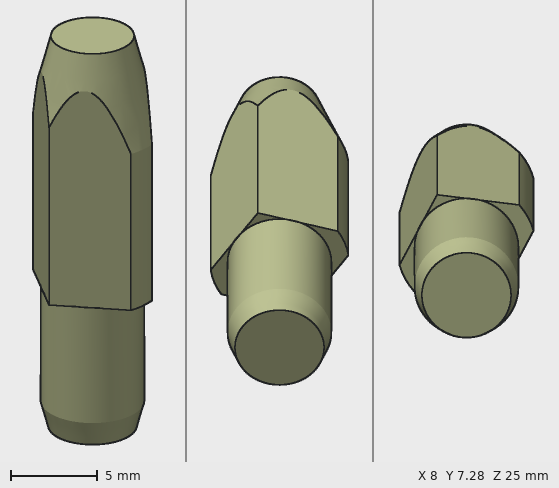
import cadquery as cq
import math

total_height = 25.0
shank_height = 9.0
shank_radius = 3.0
lead_in_height = 1.6
taper_angle = math.radians(15)

tip_radius = 2.4
head_radius = 4.0
diamond_half_depth = 3.638
diamond_slope_angle = math.radians(35.2)

lead_in_radius = shank_radius - lead_in_height * math.tan(taper_angle)
taper_height = (head_radius - tip_radius) / math.tan(taper_angle)
diamond_half_width = diamond_half_depth / math.tan(diamond_slope_angle)


def revolved_shank():
    """Round shank with a conical lead-in at its lower end."""
    return (
        cq.Workplane("XZ")
        .lineTo(lead_in_radius, 0)
        .lineTo(shank_radius, lead_in_height)
        .lineTo(shank_radius, shank_height)
        .lineTo(0, shank_height)
        .close()
        .revolve(360, (0, 0), (0, 1))
    )


def revolved_head():
    """Round envelope of the head: a cylinder ending in a truncated cone."""
    return (
        cq.Workplane("XZ")
        .moveTo(0, shank_height)
        .lineTo(head_radius, shank_height)
        .lineTo(head_radius, total_height - taper_height)
        .lineTo(tip_radius, total_height)
        .lineTo(0, total_height)
        .close()
        .revolve(360, (0, 0), (0, 1))
    )


def diamond_prism():
    """Four-sided prism whose faces cut the head's flats."""
    return (
        cq.Workplane("XY", origin=(0, 0, shank_height))
        .polyline([
            (diamond_half_width, 0),
            (0, diamond_half_depth),
            (-diamond_half_width, 0),
            (0, -diamond_half_depth),
        ])
        .close()
        .extrude(total_height - shank_height)
    )


head = revolved_head().intersect(diamond_prism())
result = revolved_shank().union(head)